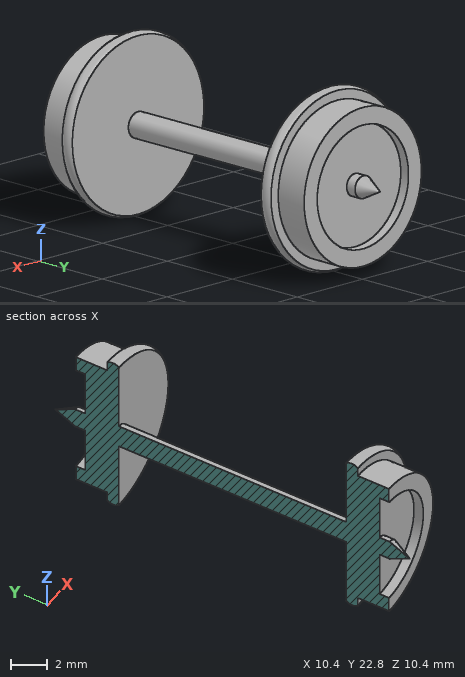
import cadquery as cq


overall_length = 22.77
axle_diameter = 1.5
pin_diameter = 1.29
point_length = 1.29

back_to_back = 14.55
flange_width = 0.775
tread_width = 2.0
flange_diameter = 10.42
tread_diameter = 9.0
flange_shoulder_diameter = 10.1
recess_diameter = 7.0
recess_depth = 0.6

tip_y = overall_length / 2
point_base_y = tip_y - point_length
wheel_back_y = back_to_back / 2
flange_front_y = wheel_back_y + flange_width
wheel_front_y = flange_front_y + tread_width
recess_floor_y = wheel_front_y - recess_depth


def disc(diameter, start_y, end_y):
    """Solid cylinder on the Y axis between two stations."""
    plane = cq.Plane(origin=(0, start_y, 0), xDir=(1, 0, 0), normal=(0, 1, 0))
    return cq.Workplane(plane).circle(diameter / 2).extrude(end_y - start_y)


def flange():
    """Flange on the +Y side, with a rim that bulges out in a single arc."""
    shoulder_radius = flange_shoulder_diameter / 2
    rim_crest = (flange_diameter / 2, wheel_back_y + flange_width / 2)
    return (
        cq.Workplane("XY")
        .moveTo(0, wheel_back_y)
        .lineTo(shoulder_radius, wheel_back_y)
        .threePointArc(rim_crest, (shoulder_radius, flange_front_y))
        .lineTo(0, flange_front_y)
        .close()
        .revolve(360, (0, 0, 0), (0, 1, 0))
    )


def wheel():
    """Wheel on the +Y side: rounded flange, tread and recessed front face."""
    tread = disc(tread_diameter, flange_front_y, wheel_front_y)
    recess = disc(recess_diameter, recess_floor_y, wheel_front_y)
    return flange().union(tread).cut(recess)


def pointed_pin():
    """Pin on the +Y side, running from the wheel back to its conical point."""
    return (
        cq.Workplane("XY")
        .moveTo(0, wheel_back_y)
        .lineTo(pin_diameter / 2, wheel_back_y)
        .lineTo(pin_diameter / 2, point_base_y)
        .lineTo(0, tip_y)
        .close()
        .revolve(360, (0, 0, 0), (0, 1, 0))
    )


wheel_end = wheel().union(pointed_pin())
axle = disc(axle_diameter, -wheel_back_y, wheel_back_y)
result = axle.union(wheel_end).union(wheel_end.mirror("XZ"))